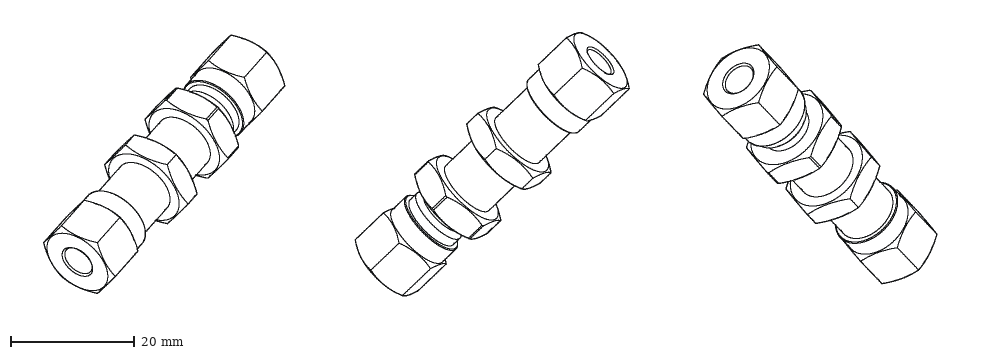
import cadquery as cq
import math

LENGTH = 51.8
FRONT_Y = -LENGTH / 2
BACK_Y = LENGTH / 2

END_HEX_LENGTH = 8.0
END_HEX_FLATS = 12.0
COLLAR_LENGTH = 3.4
COLLAR_DIAMETER = 11.75
COLLAR_CHAMFER = 0.15

SHANK_DIAMETER = 10.1
NECK_DIAMETER = 8.35
LARGE_HEX_FLATS = 14.0
LARGE_HEX_FACE_DIAMETER = 13.65
FLANGE_LENGTH = 4.6
FLANGE_CORNER_DIAMETER = 15.95
FLANGE_BACK_Y = 10.55
FLANGE_FRONT_Y = FLANGE_BACK_Y - FLANGE_LENGTH
SHOULDER_Y = 12.85
NECK_TAPER = (SHANK_DIAMETER - NECK_DIAMETER) / 2

LOCK_NUT_LENGTH = 4.15
LOCK_NUT_FRONT_Y = -6.05

PASSAGE_DIAMETER = 3.65
SOCKET_DIAMETER = 5.3
SOCKET_MOUTH_DIAMETER = 5.9
SOCKET_DEPTH = END_HEX_LENGTH
MOUTH_CHAMFER = (SOCKET_MOUTH_DIAMETER - SOCKET_DIAMETER) / 2

HEX_CHAMFER_ANGLE = math.radians(30)


def revolve_profile(points):
    """Turn an outline of (radius, y) points around the Y axis."""
    return cq.Workplane("XY").polyline(points).close().revolve(360, (0, 0, 0), (0, 1, 0))


def cylinder(diameter, start_y, length):
    """Round bar along +Y."""
    radius = diameter / 2
    end_y = start_y + length
    return revolve_profile([(0, start_y), (radius, start_y), (radius, end_y), (0, end_y)])


def chamfered_hexagon(flats, face_diameter, start_y, length):
    """Hexagon along +Y, corners on the X axis, with conical chamfers on both ends."""
    corners = flats / math.cos(math.pi / 6)
    prism = (
        cq.Workplane("XZ", origin=(0, start_y, 0))
        .polygon(6, corners)
        .extrude(-length)
    )
    face_radius = face_diameter / 2
    corner_radius = corners / 2
    drop = (corner_radius - face_radius) * math.tan(HEX_CHAMFER_ANGLE)
    end_y = start_y + length
    envelope = revolve_profile([
        (0, start_y),
        (face_radius, start_y),
        (corner_radius, start_y + drop),
        (corner_radius, end_y - drop),
        (face_radius, end_y),
        (0, end_y),
    ])
    return prism.intersect(envelope)


def front_end_fitting():
    """Front hexagon and its collar, before boring."""
    hexagon = chamfered_hexagon(END_HEX_FLATS, COLLAR_DIAMETER, FRONT_Y, END_HEX_LENGTH)
    collar_start = FRONT_Y + END_HEX_LENGTH
    collar = cylinder(COLLAR_DIAMETER, collar_start, COLLAR_LENGTH)
    return hexagon.union(collar.faces(">Y").chamfer(COLLAR_CHAMFER))


def shank_with_neck():
    """Long shank that narrows through a 45 degree cone to a neck behind the flange."""
    shank_radius = SHANK_DIAMETER / 2
    neck_radius = NECK_DIAMETER / 2
    shank_start = FRONT_Y + END_HEX_LENGTH
    shank_end = BACK_Y - END_HEX_LENGTH
    return revolve_profile([
        (0, shank_start),
        (shank_radius, shank_start),
        (shank_radius, FLANGE_FRONT_Y),
        (neck_radius, FLANGE_FRONT_Y),
        (neck_radius, SHOULDER_Y - NECK_TAPER),
        (shank_radius, SHOULDER_Y),
        (shank_radius, shank_end),
        (0, shank_end),
    ])


def fixed_flange():
    """Large hexagon of the body, with its corners turned slightly round."""
    hexagon = chamfered_hexagon(
        LARGE_HEX_FLATS, LARGE_HEX_FACE_DIAMETER, FLANGE_FRONT_Y, FLANGE_LENGTH
    )
    return hexagon.intersect(cylinder(FLANGE_CORNER_DIAMETER, FLANGE_FRONT_Y, FLANGE_LENGTH))


def front_socket():
    """Tube socket with a chamfered mouth, as a cutting tool."""
    socket_radius = SOCKET_DIAMETER / 2
    socket_end = FRONT_Y + SOCKET_DEPTH
    return revolve_profile([
        (0, FRONT_Y),
        (SOCKET_MOUTH_DIAMETER / 2, FRONT_Y),
        (socket_radius, FRONT_Y + MOUTH_CHAMFER),
        (socket_radius, socket_end),
        (0, socket_end),
    ])


def make_fitting_body():
    """Bulkhead fitting with identical ends."""
    body = shank_with_neck().union(fixed_flange())
    end = front_end_fitting()
    body = body.union(end).union(end.mirror("XZ"))
    socket = front_socket()
    body = body.cut(socket).cut(socket.mirror("XZ"))
    return body.cut(cylinder(PASSAGE_DIAMETER, FRONT_Y, LENGTH))


def make_lock_nut():
    """Hexagonal nut bored to fit the shank."""
    nut = chamfered_hexagon(
        LARGE_HEX_FLATS, LARGE_HEX_FACE_DIAMETER, LOCK_NUT_FRONT_Y, LOCK_NUT_LENGTH
    )
    return nut.cut(cylinder(SHANK_DIAMETER, LOCK_NUT_FRONT_Y, LOCK_NUT_LENGTH))


fitting_body = make_fitting_body()
lock_nut = make_lock_nut()

result = cq.Compound.makeCompound([fitting_body.val(), lock_nut.val()])